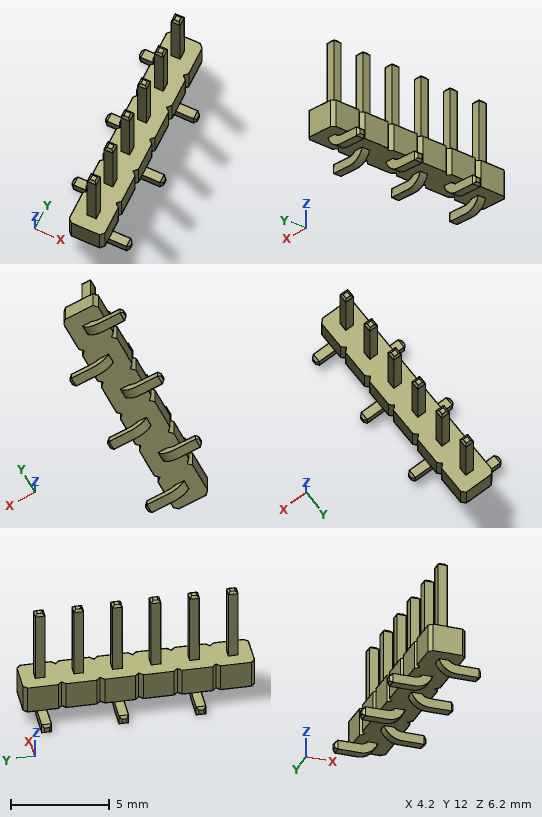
import cadquery as cq
import math

pin_count = 6
row_length = 12.0
foot_span = 4.2
total_height = 6.2
body_height = 1.51
body_clearance = 0.7
corner_cut = 0.2
pin_side = 0.5
bend_inner_radius = 0.5
tip_inset = 0.12
top_tip_length = 0.12
foot_tip_length = 0.15

pitch = row_length / pin_count
half_pin = pin_side / 2
bend_outer_radius = bend_inner_radius + pin_side
bend_start = half_pin + bend_inner_radius
foot_shoulder = foot_span / 2 - foot_tip_length
pin_shoulder = total_height - top_tip_length
tip_side = pin_side - 2 * tip_inset


def body_section(y):
    """One square block with chamfered corners; adjoining blocks form V notches."""
    return (
        cq.Workplane("XY")
        .box(pitch, pitch, body_height, centered=(True, True, False))
        .edges("|Z")
        .chamfer(corner_cut)
        .translate((0, y, body_clearance))
    )


def tip(plane, length):
    """Tapered square tip growing along the normal of the given plane."""
    return (
        cq.Workplane(plane)
        .rect(pin_side, pin_side)
        .workplane(offset=length)
        .rect(tip_side, tip_side)
        .loft(ruled=True)
    )


def right_footed_pin():
    """Pin centred on Y = 0, bent through a quarter turn so its foot points to +X."""
    diagonal = math.cos(math.radians(45))
    outer_middle = (
        bend_start - bend_outer_radius * diagonal,
        bend_outer_radius * (1 - diagonal),
    )
    inner_middle = (
        bend_start - bend_inner_radius * diagonal,
        bend_outer_radius - bend_inner_radius * diagonal,
    )
    shank = (
        cq.Workplane("XZ")
        .moveTo(-half_pin, pin_shoulder)
        .lineTo(-half_pin, bend_outer_radius)
        .threePointArc(outer_middle, (bend_start, 0))
        .lineTo(foot_shoulder, 0)
        .lineTo(foot_shoulder, pin_side)
        .lineTo(bend_start, pin_side)
        .threePointArc(inner_middle, (half_pin, bend_outer_radius))
        .lineTo(half_pin, pin_shoulder)
        .close()
        .extrude(half_pin, both=True)
    )
    top_plane = cq.Plane(origin=(0, 0, pin_shoulder), xDir=(1, 0, 0), normal=(0, 0, 1))
    foot_plane = cq.Plane(origin=(foot_shoulder, 0, half_pin), xDir=(0, 1, 0), normal=(1, 0, 0))
    return shank.union(tip(top_plane, top_tip_length)).union(tip(foot_plane, foot_tip_length))


right_pin = right_footed_pin()
left_pin = right_pin.mirror("YZ")
pin_positions = [(i - (pin_count - 1) / 2) * pitch for i in range(pin_count)]

result = body_section(pin_positions[0])
for y in pin_positions[1:]:
    result = result.union(body_section(y))
result = result.clean()

for i, y in enumerate(pin_positions):
    pin = right_pin if i % 2 == 0 else left_pin
    result = result.union(pin.translate((0, y, 0)))